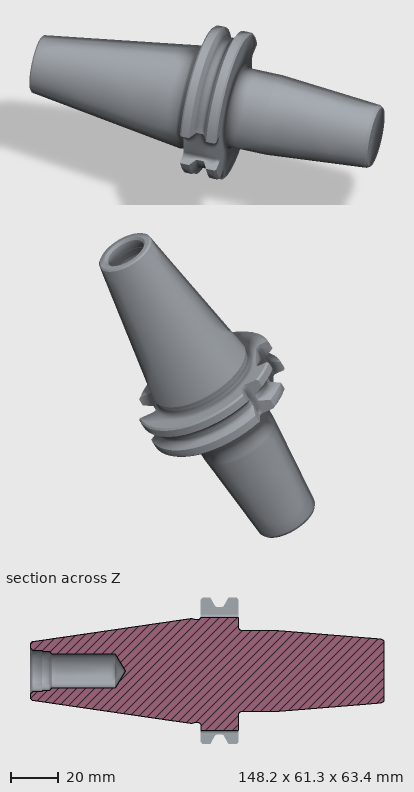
import cadquery as cq
import math

total_length = 148.2
gauge_x = 68.3
gauge_radius = 22.2
taper_slope = 7 / 48
taper_end_x = 67.5
taper_end_chamfer = 0.6

relief_start_x = 68.8
relief_radius = 21.8
relief_fillet = 1.0

flange_start_x = 71.5
flange_width = 15.9
flange_radius = 31.7
flange_chamfer = 0.7
groove_center_x = 79.3
groove_floor_radius = 28.0
groove_floor_width = 3.3
groove_half_angle = 30
groove_fillet = 0.9

neck_radius = 17.0
neck_fillet = 1.5
neck_end_x = 103.6
nose_radius = 13.5
nose_chamfer_length = 1.2
nose_chamfer_depth = 0.7

slot_width = 16.3
slot_floor_front = 25.0
slot_floor_back = 22.5
slot_corner_radius = 1.2
notch_y = 18.7
notch_z = 18.5
notch_corner_radius = 1.2

mouth_radius = 9.5
pilot_radius = 8.5
pilot_depth = 5.0
seat_radius = 8.0
seat_depth = 8.0
core_radius = 7.0
core_depth = 35.6
drill_half_angle = 59

flange_end_x = flange_start_x + flange_width


def taper_radius(x):
    return gauge_radius - (gauge_x - x) * taper_slope


def make_body():
    """Revolve the taper, relief, flange blank and nose."""
    rim_radius = flange_radius - flange_chamfer
    arc_offset = 1 - math.sqrt(0.5)
    profile = (
        cq.Workplane("XY")
        .moveTo(0, 0)
        .lineTo(0, taper_radius(0) - taper_end_chamfer)
        .lineTo(taper_end_chamfer, taper_radius(taper_end_chamfer))
        .lineTo(taper_end_x, taper_radius(taper_end_x))
        .lineTo(relief_start_x, relief_radius)
        .lineTo(flange_start_x - relief_fillet, relief_radius)
        .threePointArc(
            (flange_start_x - relief_fillet * arc_offset, relief_radius + relief_fillet * arc_offset),
            (flange_start_x, relief_radius + relief_fillet),
        )
        .lineTo(flange_start_x, rim_radius)
        .lineTo(flange_start_x + flange_chamfer, flange_radius)
        .lineTo(flange_end_x - flange_chamfer, flange_radius)
        .lineTo(flange_end_x, rim_radius)
        .lineTo(flange_end_x, neck_radius + neck_fillet)
        .threePointArc(
            (flange_end_x + neck_fillet * arc_offset, neck_radius + neck_fillet * arc_offset),
            (flange_end_x + neck_fillet, neck_radius),
        )
        .lineTo(neck_end_x, neck_radius)
        .lineTo(total_length - nose_chamfer_length, nose_radius)
        .lineTo(total_length, nose_radius - nose_chamfer_depth)
        .lineTo(total_length, 0)
        .close()
    )
    return profile.revolve(360, (0, 0, 0), (1, 0, 0))


def make_groove():
    """V-groove ring with rounded floor corners."""
    wall_run = (flange_radius - groove_floor_radius) * math.tan(math.radians(groove_half_angle))
    floor_half = groove_floor_width / 2
    mouth_half = floor_half + wall_run
    ring = (
        cq.Workplane("XY")
        .moveTo(groove_center_x - mouth_half, flange_radius)
        .lineTo(groove_center_x - floor_half, groove_floor_radius)
        .lineTo(groove_center_x + floor_half, groove_floor_radius)
        .lineTo(groove_center_x + mouth_half, flange_radius)
        .close()
        .revolve(360, (0, 0, 0), (1, 0, 0))
    )
    floor_edges = cq.selectors.RadiusNthSelector(0)
    return ring.edges(floor_edges).fillet(groove_fillet)


def make_slot(side, floor):
    """Drive slot through the flange; side is -1 for -Y and +1 for +Y."""
    depth = flange_radius - floor
    slot = cq.Workplane("XY").box(flange_width, depth, slot_width)
    floor_face = "<Y" if side > 0 else ">Y"
    slot = slot.faces(floor_face).edges("|X").fillet(slot_corner_radius)
    return slot.translate((flange_start_x + flange_width / 2, side * (floor + depth / 2), 0))


def make_notch():
    """Orientation notch with a rounded inner corner in the -Y, -Z part of the flange."""
    depth = flange_radius - notch_y
    height = flange_radius - notch_z
    notch = cq.Workplane("XY").box(flange_width, depth, height, centered=False)
    notch = notch.edges("|X and >Y and >Z").fillet(notch_corner_radius)
    return notch.translate((flange_start_x, -flange_radius, -flange_radius))


def make_bore():
    """Stepped blind bore with a conical drill point."""
    mouth_depth = mouth_radius - pilot_radius
    point_length = core_radius / math.tan(math.radians(drill_half_angle))
    outline = [
        (0, 0),
        (0, mouth_radius),
        (mouth_depth, pilot_radius),
        (pilot_depth, pilot_radius),
        (pilot_depth, seat_radius),
        (seat_depth, seat_radius),
        (seat_depth + seat_radius - core_radius, core_radius),
        (core_depth, core_radius),
        (core_depth + point_length, 0),
    ]
    return cq.Workplane("XY").polyline(outline).close().revolve(360, (0, 0, 0), (1, 0, 0))


result = (
    make_body()
    .cut(make_groove())
    .cut(make_slot(-1, slot_floor_front))
    .cut(make_slot(1, slot_floor_back))
    .cut(make_notch())
    .cut(make_bore())
)